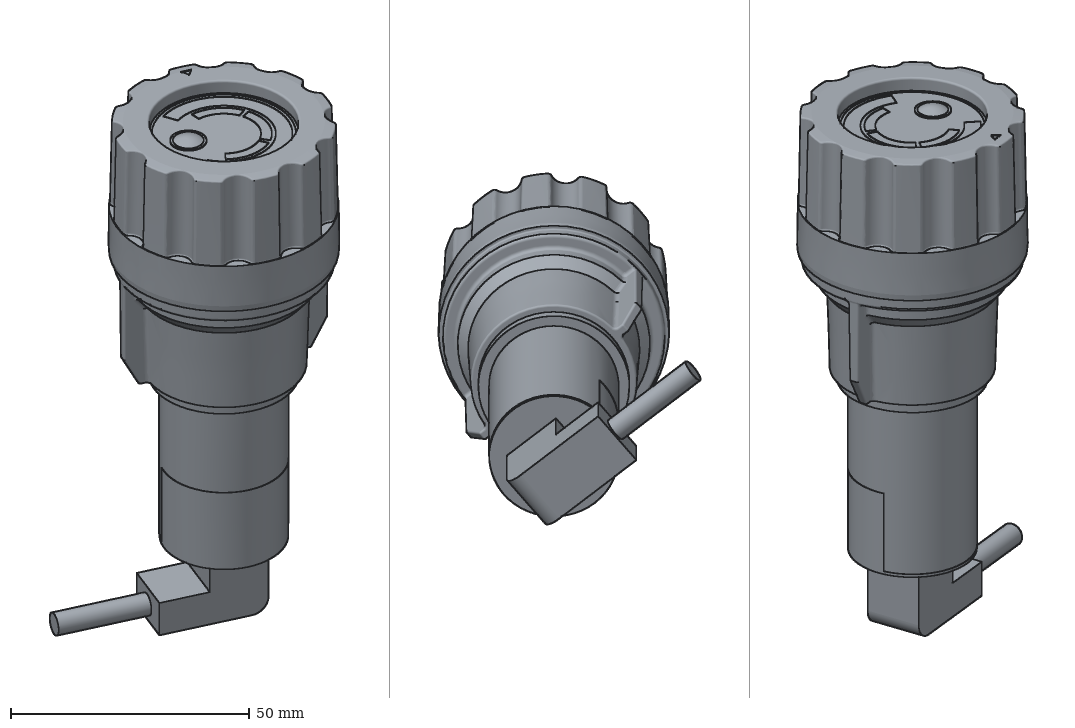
import cadquery as cq
import math

TOLERANCE = 0.01

TOTAL_HEIGHT = 120.2
RIM_DROP = 0.2
FLUTE_BOTTOM_Z = 99.3
COLLAR_WIDEST_Z = 89.4
COLLAR_BOTTOM_Z = 88.1
FLANGE_BOTTOM_Z = 85.0
SHOULDER_BOTTOM_Z = 81.5
NECK_TOP_Z = 78.8
NECK_BOTTOM_Z = 59.7
LIP_BOTTOM_Z = 57.3
TUBE_BOTTOM_Z = 17.2

TOP_FACE_DIAMETER = 42.4
GRIP_TOP_DIAMETER = 47.1
GRIP_BOTTOM_DIAMETER = 48.0
COLLAR_TOP_DIAMETER = 48.3
COLLAR_WIDEST_DIAMETER = 48.5
FLANGE_DIAMETER = 46.6
SHOULDER_DIAMETER = 40.4
NECK_TOP_DIAMETER = 36.0
NECK_BOTTOM_DIAMETER = 34.8
LIP_DIAMETER = 31.7
TUBE_DIAMETER = 27.3
GRIP_RIM_FILLET = 0.4
FLANGE_FILLET = 0.7
FLANGE_ROOT_FILLET = 0.4
NECK_FILLET = 0.5

FLUTE_COUNT = 12
FLUTE_RADIUS = 3.4
FLUTE_ROOT_RADIUS = 21.7
FLUTE_END_FILLET = 0.5
FLUTE_EDGE_FILLET = 0.8

RECESS_DIAMETER = 31.4
RECESS_DEPTH = 3.1
RECESS_MOUTH_FILLET = 0.5
PLATE_DIAMETER = 30.3
PLATE_LEDGE_HEIGHT = 0.1
MARK_DEPTH = 0.1
BAND_INNER_RADIUS = 10.9
BAND_OUTER_RADIUS = 14.4
BAND_END_ANGLE = -40.0
WINDOW_INNER_RADIUS = 7.8
WINDOW_OUTER_RADIUS = 10.1
WINDOW_END_ANGLE = -20.0
WINDOW_SPLIT_ANGLE = 50.0
WINDOW_GAP_ANGLE = 6.0

BUTTON_Y = -8.0
BUTTON_DIAMETER = 7.7
BUTTON_COLLAR_HEIGHT = 0.2
DOME_DIAMETER = 6.5
DOME_HEIGHT = 1.0

POINTER_LENGTH = 1.7
POINTER_WIDTH = 2.4

RIB_TOP_THICKNESS = 2.6
RIB_FOOT_THICKNESS = 2.0
RIB_TOP_Z = 86.5
RIB_TOP_REACH = 23.2
RIB_KNEE_REACH = 23.1
RIB_KNEE_Z = 66.6
RIB_FOOT_REACH = 19.5
RIB_EDGE_FILLET = 0.5
RIB_ROOT_FILLET = 1.0
RIB_TOP_FILLET = 0.8

RELIEF_DIAMETER = 27.2
RELIEF_EDGE_X = -1.5
RELIEF_TOP_Z = 36.3
END_RELIEF_HEIGHT = 0.7

ELBOW_WIDTH = 12.7
ELBOW_BACK_Y = 7.6
ELBOW_FRONT_Y = -5.8
ELBOW_END_Y = -17.2
ELBOW_ARM_HEIGHT = 8.0
ELBOW_FILLET = 3.8
CABLE_DIAMETER = 5.0
CABLE_X = -0.6
CABLE_Z = 3.7
CABLE_END_Y = -38.2


def disc(diameter, bottom, top):
    """Solid cylinder on the main axis."""
    return cq.Workplane("XY").workplane(offset=bottom).circle(diameter / 2).extrude(top - bottom)


def revolve_profile(points):
    """Turn (radius, z) points around the main axis."""
    return cq.Workplane("XZ").polyline(points).close().revolve(360, (0, 0, 0), (0, 1, 0))


def make_grip():
    """Tapered grip with scalloped flutes standing on the collar."""
    grip = revolve_profile([
        (0, FLUTE_BOTTOM_Z),
        (GRIP_BOTTOM_DIAMETER / 2, FLUTE_BOTTOM_Z),
        (GRIP_TOP_DIAMETER / 2, TOTAL_HEIGHT - RIM_DROP),
        (TOP_FACE_DIAMETER / 2, TOTAL_HEIGHT),
        (0, TOTAL_HEIGHT),
    ])
    grip_height = TOTAL_HEIGHT - FLUTE_BOTTOM_Z
    draft = math.degrees(math.atan((GRIP_BOTTOM_DIAMETER - GRIP_TOP_DIAMETER) / 2 / grip_height))
    flute_axis_radius = FLUTE_ROOT_RADIUS + FLUTE_RADIUS
    flute = (
        cq.Workplane("XY").circle(FLUTE_RADIUS).extrude(2 * grip_height)
        .faces("<Z").edges().fillet(FLUTE_END_FILLET)
        .rotate((0, 0, 0), (0, 1, 0), -draft)
        .translate((flute_axis_radius, 0, FLUTE_BOTTOM_Z))
    )
    flute_pitch = 360 / FLUTE_COUNT
    for index in range(FLUTE_COUNT):
        grip = grip.cut(flute.rotate((0, 0, 0), (0, 0, 1), (index + 0.5) * flute_pitch))
    half_height = grip_height / 2
    flute_edges = grip.edges().filter(
        lambda edge: edge.BoundingBox().zlen > half_height
        and math.hypot(edge.Center().x, edge.Center().y) > TOP_FACE_DIAMETER / 2
    )
    grip = flute_edges.fillet(FLUTE_EDGE_FILLET)
    outer_rim = grip.edges().filter(
        lambda edge: edge.Center().z > TOTAL_HEIGHT - 2 * RIM_DROP
        and edge.BoundingBox().xlen + edge.BoundingBox().ylen < GRIP_TOP_DIAMETER
    )
    return outer_rim.fillet(GRIP_RIM_FILLET)


def make_collar():
    """Slightly flared ring below the grip."""
    return revolve_profile([
        (0, COLLAR_BOTTOM_Z),
        (COLLAR_TOP_DIAMETER / 2, COLLAR_BOTTOM_Z),
        (COLLAR_WIDEST_DIAMETER / 2, COLLAR_WIDEST_Z),
        (COLLAR_TOP_DIAMETER / 2, FLUTE_BOTTOM_Z),
        (0, FLUTE_BOTTOM_Z),
    ])


def fillet_flange_root(body):
    """Blend the flange into the underside of the collar."""
    root = body.edges("%CIRCLE").filter(
        lambda edge: abs(edge.Center().z - COLLAR_BOTTOM_Z) < TOLERANCE
        and edge.BoundingBox().xlen < FLANGE_DIAMETER + TOLERANCE
    )
    return root.fillet(FLANGE_ROOT_FILLET)


def make_neck():
    """Shoulder and tapered neck."""
    return revolve_profile([
        (0, NECK_BOTTOM_Z),
        (NECK_BOTTOM_DIAMETER / 2, NECK_BOTTOM_Z),
        (NECK_TOP_DIAMETER / 2, NECK_TOP_Z),
        (SHOULDER_DIAMETER / 2, SHOULDER_BOTTOM_Z),
        (SHOULDER_DIAMETER / 2, RIB_TOP_Z),
        (0, RIB_TOP_Z),
    ])


def make_ribs():
    """Two opposite tapered fins running down the neck on the -Y and +Y sides."""
    side_outline = [
        (0, NECK_BOTTOM_Z),
        (RIB_FOOT_REACH, NECK_BOTTOM_Z),
        (RIB_KNEE_REACH, RIB_KNEE_Z),
        (RIB_TOP_REACH, RIB_TOP_Z),
        (0, RIB_TOP_Z),
    ]
    front_outline = [
        (-RIB_FOOT_THICKNESS / 2, NECK_BOTTOM_Z),
        (RIB_FOOT_THICKNESS / 2, NECK_BOTTOM_Z),
        (RIB_TOP_THICKNESS / 2, RIB_TOP_Z),
        (-RIB_TOP_THICKNESS / 2, RIB_TOP_Z),
    ]
    rib = cq.Workplane("YZ").polyline(side_outline).close().extrude(RIB_TOP_THICKNESS, both=True)
    rib = rib.intersect(
        cq.Workplane("XZ").polyline(front_outline).close().extrude(-FLANGE_DIAMETER)
    )
    outer_corners = rib.edges().filter(
        lambda edge: edge.Center().y > RIB_FOOT_REACH
        and edge.BoundingBox().zlen > RIB_TOP_THICKNESS
    )
    rib = outer_corners.fillet(RIB_EDGE_FILLET)
    return rib.union(rib.mirror("XZ"))


def fillet_rib_roots(body):
    """Blend the flanks of the fins into the neck and shoulder."""
    roots = body.edges().filter(
        lambda edge: abs(edge.Center().x) < RIB_TOP_THICKNESS
        and abs(edge.Center().y) < SHOULDER_DIAMETER / 2
        and edge.BoundingBox().zlen > edge.BoundingBox().xlen
        and edge.Center().z < RIB_TOP_Z
    )
    return roots.fillet(RIB_ROOT_FILLET)


def fillet_neck_foot(body):
    """Round the lower edge of the neck between the fins."""
    foot = body.faces("<Z").edges("%CIRCLE").edges(cq.selectors.BoxSelector(
        (-NECK_TOP_DIAMETER, -RIB_TOP_THICKNESS, 0), (NECK_TOP_DIAMETER, RIB_TOP_THICKNESS, TOTAL_HEIGHT)
    ))
    return foot.fillet(NECK_FILLET)


def fillet_rib_tops(body):
    """Blend the flanks of the fins into the underside of the flange."""
    tops = body.edges("%LINE").filter(
        lambda edge: abs(edge.Center().z - FLANGE_BOTTOM_Z) < TOLERANCE
        and abs(edge.Center().x) < RIB_TOP_THICKNESS
    )
    return tops.fillet(RIB_TOP_FILLET)


def make_tube():
    """Lip and straight tube, with a shallow relief on the lower +X half and at the end."""
    tube = disc(TUBE_DIAMETER, TUBE_BOTTOM_Z, LIP_BOTTOM_Z)
    relief_shell = disc(2 * TUBE_DIAMETER, TUBE_BOTTOM_Z, RELIEF_TOP_Z).cut(
        disc(RELIEF_DIAMETER, TUBE_BOTTOM_Z, RELIEF_TOP_Z)
    )
    side_height = RELIEF_TOP_Z - TUBE_BOTTOM_Z
    side = cq.Workplane("XY").box(
        2 * TUBE_DIAMETER, 2 * TUBE_DIAMETER, side_height, centered=(False, True, False)
    ).translate((RELIEF_EDGE_X, 0, TUBE_BOTTOM_Z))
    end = disc(2 * TUBE_DIAMETER, TUBE_BOTTOM_Z, TUBE_BOTTOM_Z + END_RELIEF_HEIGHT)
    tube = tube.cut(relief_shell.intersect(side.union(end)))
    return tube.union(disc(LIP_DIAMETER, LIP_BOTTOM_Z, NECK_BOTTOM_Z))


def make_elbow():
    """Right-angle cable outlet with the cable leaving towards -Y."""
    elbow = (
        cq.Workplane("YZ").workplane(offset=-ELBOW_WIDTH / 2)
        .moveTo(ELBOW_BACK_Y, TUBE_BOTTOM_Z)
        .lineTo(ELBOW_BACK_Y, 0)
        .lineTo(ELBOW_END_Y, 0)
        .lineTo(ELBOW_END_Y, ELBOW_ARM_HEIGHT)
        .lineTo(ELBOW_FRONT_Y, ELBOW_ARM_HEIGHT)
        .lineTo(ELBOW_FRONT_Y, TUBE_BOTTOM_Z)
        .close().extrude(ELBOW_WIDTH)
        .edges("|X and >Y and <Z").fillet(ELBOW_FILLET)
    )
    cable = (
        cq.Workplane("XZ", origin=(CABLE_X, ELBOW_END_Y, CABLE_Z))
        .circle(CABLE_DIAMETER / 2).extrude(ELBOW_END_Y - CABLE_END_Y)
    )
    return elbow.union(cable)


def polar(radius, angle):
    """Point at an angle in degrees counter-clockwise from +X."""
    return (radius * math.cos(math.radians(angle)), radius * math.sin(math.radians(angle)))


def ring_sector(inner, outer, start, end):
    """Shallow cutter shaped as a ring sector, sunk into the recess floor."""
    middle = (start + end) / 2
    return (
        cq.Workplane("XY").workplane(offset=TOTAL_HEIGHT - RECESS_DEPTH - MARK_DEPTH)
        .moveTo(*polar(inner, start))
        .lineTo(*polar(outer, start))
        .threePointArc(polar(outer, middle), polar(outer, end))
        .lineTo(*polar(inner, end))
        .threePointArc(polar(inner, middle), polar(inner, start))
        .close().extrude(MARK_DEPTH)
    )


def cut_display(body):
    """Round recess with a scale band, three indicator windows and a domed button."""
    floor_z = TOTAL_HEIGHT - RECESS_DEPTH
    body = body.cut(disc(RECESS_DIAMETER, floor_z + PLATE_LEDGE_HEIGHT, TOTAL_HEIGHT))
    body = body.cut(disc(PLATE_DIAMETER, floor_z, TOTAL_HEIGHT))
    mouth = body.faces(">Z").edges("%CIRCLE").edges(cq.selectors.RadiusNthSelector(0))
    body = mouth.fillet(RECESS_MOUTH_FILLET)

    body = body.cut(ring_sector(
        BAND_INNER_RADIUS, BAND_OUTER_RADIUS, BAND_END_ANGLE, 180 - BAND_END_ANGLE
    ))
    half_gap = WINDOW_GAP_ANGLE / 2
    window_spans = [
        (WINDOW_END_ANGLE, WINDOW_SPLIT_ANGLE - half_gap),
        (WINDOW_SPLIT_ANGLE + half_gap, 180 - WINDOW_SPLIT_ANGLE - half_gap),
        (180 - WINDOW_SPLIT_ANGLE + half_gap, 180 - WINDOW_END_ANGLE),
    ]
    for start, end in window_spans:
        body = body.cut(ring_sector(WINDOW_INNER_RADIUS, WINDOW_OUTER_RADIUS, start, end))

    button_collar = disc(BUTTON_DIAMETER, floor_z, floor_z + BUTTON_COLLAR_HEIGHT)
    dome_base_z = floor_z + BUTTON_COLLAR_HEIGHT
    dome_radius = ((DOME_DIAMETER / 2) ** 2 + DOME_HEIGHT ** 2) / (2 * DOME_HEIGHT)
    dome_center_z = dome_base_z + DOME_HEIGHT - dome_radius
    dome = cq.Workplane("XY").sphere(dome_radius).translate((0, 0, dome_center_z))
    dome = dome.intersect(disc(DOME_DIAMETER, floor_z, TOTAL_HEIGHT))
    button = button_collar.union(dome).translate((0, BUTTON_Y, 0))
    return body.union(button)


def cut_pointer(body):
    """Small triangular notch in the top face on the -X side, pointing to the axis."""
    outer_x = -TOP_FACE_DIAMETER / 2
    pointer = (
        cq.Workplane("XY").workplane(offset=TOTAL_HEIGHT - RIM_DROP)
        .moveTo(outer_x, -POINTER_WIDTH / 2)
        .lineTo(outer_x + POINTER_LENGTH, 0)
        .lineTo(outer_x, POINTER_WIDTH / 2)
        .close().extrude(RIM_DROP)
    )
    return body.cut(pointer)


flange = disc(FLANGE_DIAMETER, FLANGE_BOTTOM_Z, COLLAR_BOTTOM_Z).faces("<Z").edges().fillet(FLANGE_FILLET)
head = fillet_flange_root(make_collar().union(flange))
neck = fillet_neck_foot(fillet_rib_roots(make_neck().union(make_ribs())))
lower_body = fillet_rib_tops(neck.union(head)).union(make_tube()).union(make_elbow())
result = lower_body.union(cut_pointer(cut_display(make_grip())))